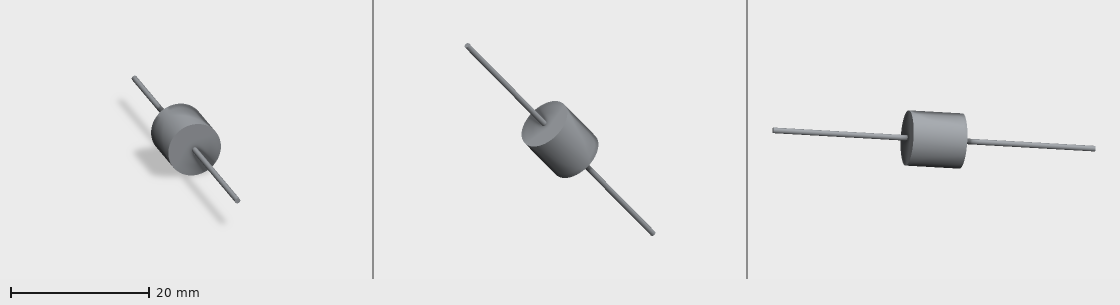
import cadquery as cq

overall_length = 48.0
body_diameter = 8.0
body_length = body_diameter
lead_diameter = 0.8


def centered_rod(diameter, length):
    """Return a cylinder along X, centered on the origin."""
    return cq.Workplane("YZ", origin=(-length / 2, 0, 0)).circle(diameter / 2).extrude(length)


body = centered_rod(body_diameter, body_length)
leads = centered_rod(lead_diameter, overall_length)

result = body.union(leads)